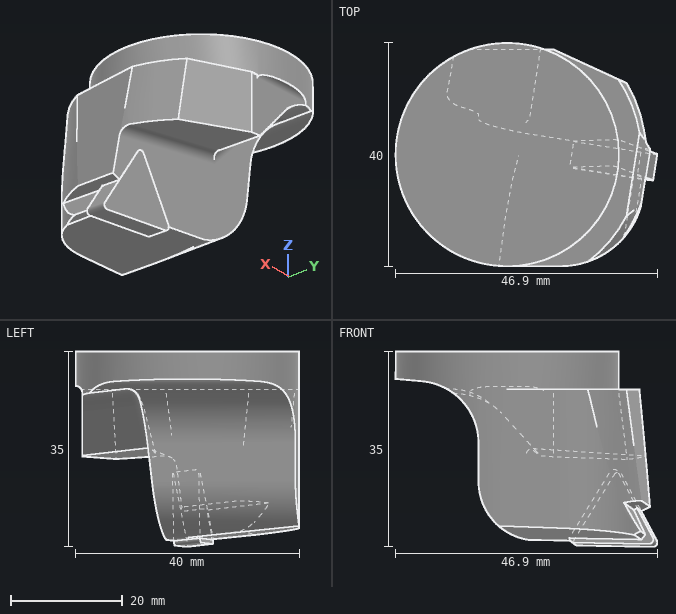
import cadquery as cq
import math

disc_diameter = 40.0
disc_radius = disc_diameter / 2
shelf_z = -6.8
overall_height = 35.0
reach = 26.85
blank_depth = 39.85
span = 56.25

front_flat_end = 9.55
corner_radius = 15.0
back_y = 18.85
back_flat_end = 8.25
back_step_z = -6.25
back_step_radius = 1.12
back_bevel_slope = 0.46
outline_side_y = 7.05

cone_radius = 24.0
cone_angle = 4.3
facet_distance = 22.8

neck_x = -5.15
neck_top_z = -16.35
neck_bottom_z = -23.3
undercut_radius = 11.0
undercut_angle = 5.0
heel_radius = 10.6

underside_front_z = -31.65
underside_y_angle = 5.6
underside_x_angle = 2.0

rake_x_slope = math.tan(math.radians(8.9))
rake_z_slope = math.tan(math.radians(6.6))
gullet_diameter = 3.8

nose_radius = 0.8
insert_corner_spacing = 13.6
insert_thickness = 4.8
insert_tilt = 1.0

relief_foot = (-1.45, 1.7)
relief_angle = 26.0
relief_height = 4.45
relief_chamfer = (-0.65, -0.85)

rake_plane = cq.Plane(
    origin=(reach, 0, -overall_height),
    xDir=(1, -rake_x_slope, 0),
    normal=(-rake_x_slope, -1, rake_z_slope),
)


def make_blank():
    """Round disc column joined to the wider head under the shelf."""
    column = cq.Workplane("XY").circle(disc_radius).extrude(-blank_depth)
    centre_y = corner_radius - disc_radius
    side_angle = math.atan(rake_x_slope)
    mid_angle = -(math.pi / 2 + side_angle) / 2

    def on_corner(angle):
        return (front_flat_end + corner_radius * math.cos(angle),
                centre_y + corner_radius * math.sin(angle))

    arc_end = on_corner(-side_angle)
    side_x = arc_end[0] + rake_x_slope * (outline_side_y - arc_end[1])
    bevel_end_y = back_y - back_bevel_slope * (side_x - back_flat_end)
    head = (
        cq.Workplane("XY", origin=(0, 0, shelf_z))
        .moveTo(0, -disc_radius)
        .lineTo(front_flat_end, -disc_radius)
        .threePointArc(on_corner(mid_angle), arc_end)
        .lineTo(side_x, outline_side_y)
        .lineTo(side_x, bevel_end_y)
        .lineTo(back_flat_end, back_y)
        .lineTo(0, back_y)
        .close()
        .extrude(-(blank_depth + shelf_z))
    )
    return column.cut(make_back_step()).union(head.intersect(make_taper()).cut(make_facet_cut()))


def make_taper():
    """Cone that widens downwards and bounds the head."""
    height = blank_depth + shelf_z
    foot_radius = cone_radius + height * math.tan(math.radians(cone_angle))
    return cq.Workplane(cq.Solid.makeCone(
        foot_radius, cone_radius, height, pnt=cq.Vector(0, 0, -blank_depth)))


def make_facet_cut():
    """Half-space outside the flat side facet, which is square to the rake plane."""
    facet_normal = cq.Vector(1, -rake_x_slope, rake_z_slope)
    horizontal = cq.Vector(1, -rake_x_slope, 0).normalized()
    start = horizontal * facet_distance + cq.Vector(0, 0, shelf_z)
    plane = cq.Plane(origin=start, xDir=(rake_x_slope, 1, 0), normal=facet_normal)
    return cq.Workplane(plane).rect(2 * span, 2 * span).extrude(span)


def make_undercut():
    """Space under the disc, beside the neck and around the rounded heel."""
    turn = math.radians(undercut_angle)
    centre_x = neck_x - undercut_radius
    arc_mid = math.radians(90 - undercut_angle) / 2
    arc_top_x = centre_x + undercut_radius * math.sin(turn)
    arc_top_z = neck_top_z + undercut_radius * math.cos(turn)
    heel_x = neck_x + heel_radius
    diagonal = heel_radius * math.sqrt(0.5)
    return (
        cq.Workplane("XZ", origin=(0, span / 2, 0))
        .moveTo(-span, arc_top_z + math.tan(turn) * (span + arc_top_x))
        .lineTo(arc_top_x, arc_top_z)
        .threePointArc((centre_x + undercut_radius * math.cos(arc_mid),
                        neck_top_z + undercut_radius * math.sin(arc_mid)),
                       (neck_x, neck_top_z))
        .lineTo(neck_x, neck_bottom_z)
        .threePointArc((heel_x - diagonal, neck_bottom_z - diagonal),
                       (heel_x, neck_bottom_z - heel_radius))
        .lineTo(heel_x, -span)
        .lineTo(-span, -span)
        .close()
        .extrude(span)
    )


def make_back_step():
    """Flat along the +Y side below the disc rim, with a rounded inner corner."""
    return (
        cq.Workplane("XY", origin=(0, back_y + span / 2, back_step_z))
        .rect(2 * span, span)
        .extrude(-span)
        .faces("<Y")
        .edges(">Z")
        .fillet(back_step_radius)
    )


def make_underside_cut():
    """Half-space below the sloping underside."""
    plane = cq.Plane(
        origin=(front_flat_end, -disc_radius, underside_front_z),
        xDir=(1, 0, -math.tan(math.radians(underside_x_angle))),
        normal=(-math.tan(math.radians(underside_x_angle)),
                -math.tan(math.radians(underside_y_angle)), -1),
    )
    return cq.Workplane(plane).rect(2 * span, 2 * span).extrude(span)


def make_gullet():
    """Chip space on the +Y side of the rake plane, with a rounded root."""
    ceiling_v = 28.7
    curve_start_u = -37.95
    curve_mid = (-34.2, 27.95)
    curve_end = (-30.7, 25.7)
    lip_start = (-23.6, 18.0)
    lip_end = (14.05, 15.55)
    gullet = (
        cq.Workplane(rake_plane)
        .moveTo(-span, ceiling_v)
        .lineTo(curve_start_u, ceiling_v)
        .threePointArc(curve_mid, curve_end)
        .lineTo(*lip_start)
        .lineTo(*lip_end)
        .lineTo(lip_end[0], -span)
        .lineTo(-span, -span)
        .close()
        .extrude(-span)
    )
    root_box = cq.selectors.BoxSelector((-span, -0.45, -0.45), (lip_end[0] - 0.45, span, 0.45))
    local = gullet.val().moved(rake_plane.location.inverse)
    local = cq.Workplane(local).edges(root_box).fillet(gullet_diameter / 2)
    return cq.Workplane(local.val().moved(rake_plane.location))


def make_relief():
    """Clearance behind the insert's side edge, with a chamfered foot."""
    lean = math.radians(relief_angle)
    foot_u, foot_v = relief_foot
    roof_start = (foot_u - relief_height * math.tan(lean), foot_v + relief_height)
    roof_length = 7.05
    chamfer_u, chamfer_v = relief_chamfer
    chamfer_reach = 6
    return (
        cq.Workplane(rake_plane)
        .moveTo(*relief_foot)
        .lineTo(*roof_start)
        .lineTo(roof_start[0] + roof_length * math.cos(lean),
                roof_start[1] + roof_length * math.sin(lean))
        .lineTo(roof_length, -roof_length)
        .lineTo(foot_u + chamfer_reach * chamfer_u, foot_v + chamfer_reach * chamfer_v)
        .close()
        .extrude(span / 2, both=True)
    )


def make_insert():
    """Rounded triangular plate, flush with the rake plane."""
    corner = (-nose_radius, nose_radius)
    points = [corner]
    for angle in (180 - insert_tilt, 120 - insert_tilt):
        points.append((corner[0] + insert_corner_spacing * math.cos(math.radians(angle)),
                       corner[1] + insert_corner_spacing * math.sin(math.radians(angle))))
    return (
        cq.Workplane(rake_plane)
        .polyline(points)
        .close()
        .offset2D(nose_radius)
        .extrude(insert_thickness)
    )


insert = make_insert()
head = make_blank()
for cutter in (make_undercut(), make_underside_cut(), make_gullet(), make_relief(), insert):
    head = head.cut(cutter)

result = cq.Compound.makeCompound([*head.vals(), insert.val()])